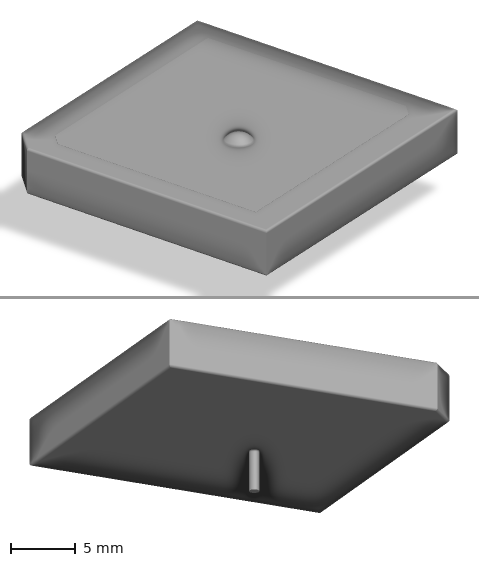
import cadquery as cq
import math

body_side = 25.0
body_height = 4.0
corner_cut = 2.0
edge_radius = 0.2

patch_length_x = 20.0
patch_length_y = 21.0
patch_thickness = 0.02
patch_corner_cut = 1.0

feed_x = 1.9
feed_y = -1.7
pin_diameter = 0.8
pin_length = 3.3
dome_radius = 1.5
dome_rise = 0.6
foot_fillet_radius = 0.2


def point_on_circle(center, radius, angle):
    """Point of a circle at an angle in radians from the first axis."""
    return center[0] + radius * math.cos(angle), center[1] + radius * math.sin(angle)


def make_body():
    """Square block with one corner cut off and rounded top and bottom rims."""
    block = cq.Workplane("XY").box(body_side, body_side, body_height, centered=(True, True, False))
    block = block.edges("|Z and <X and <Y").chamfer(corner_cut)
    return block.faces("<Z or >Z").edges().fillet(edge_radius)


def make_patch():
    """Thin plate on the block with two opposite corners cut off."""
    plate = (
        cq.Workplane("XY")
        .workplane(offset=body_height)
        .rect(patch_length_x, patch_length_y)
        .extrude(patch_thickness)
    )
    for corner in ("|Z and <X and <Y", "|Z and >X and >Y"):
        plate = plate.edges(corner).chamfer(patch_corner_cut)
    return plate


def make_pin():
    """Round pin running from the top face of the block down past its underside."""
    return (
        cq.Workplane("XY")
        .workplane(offset=-pin_length)
        .center(feed_x, feed_y)
        .circle(pin_diameter / 2)
        .extrude(pin_length + body_height)
    )


def make_dome():
    """Spherical cap on the patch, blended into it by a concave fillet around its foot."""
    foot_z = body_height + patch_thickness
    top_z = body_height + dome_rise
    sphere_center_z = top_z - dome_radius

    fillet_center_z = foot_z + foot_fillet_radius
    center_distance = dome_radius + foot_fillet_radius
    center_rise = fillet_center_z - sphere_center_z
    foot_radius = math.sqrt(center_distance**2 - center_rise**2)
    fillet_center = (foot_radius, fillet_center_z)

    blend_angle = math.asin(center_rise / center_distance)
    blend_point = point_on_circle((0, sphere_center_z), dome_radius, blend_angle)
    cap_middle = point_on_circle((0, sphere_center_z), dome_radius, (blend_angle + math.pi / 2) / 2)
    fillet_middle_angle = (math.pi + blend_angle + 3 * math.pi / 2) / 2
    fillet_middle = point_on_circle(fillet_center, foot_fillet_radius, fillet_middle_angle)

    profile = (
        cq.Workplane("XZ")
        .moveTo(0, body_height)
        .lineTo(0, top_z)
        .threePointArc(cap_middle, blend_point)
        .threePointArc(fillet_middle, (foot_radius, foot_z))
        .lineTo(foot_radius, body_height)
        .close()
    )
    return profile.revolve(360, (0, 0), (0, 1)).translate((feed_x, feed_y, 0))


result = make_body().union(make_patch()).union(make_pin()).union(make_dome())